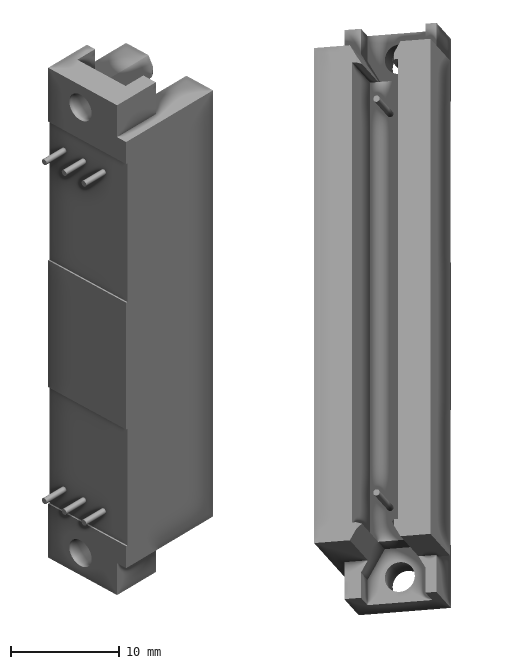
import cadquery as cq

length = 55.0
mid_z = length / 2
ear_length = 3.6
wall_end_z = length - ear_length

half_width = 5.55
base_half_width = 4.4
base_height = 5.15
wall_top = 11.6
left_wall_bottom = 4.6

slot_center_x = -0.3
slot_width = 2.85
slot_edge_chamfer_x = 0.4
slot_edge_chamfer_y = 0.6

cavity_width = 4.4

pocket_floor = 2.8
pocket_width = 6.15
funnel_width_at_wall_end = 4.85
funnel_depth = 1.7
funnel_start_z = wall_end_z - funnel_depth

hole_diameter = 2.85
hole_from_end = 2.5

relief_depth = 0.15
upper_relief = (33.4, 48.95)
lower_relief = (6.05, 19.15)

pin_diameter = 0.6
pin_pitch = 2.55
pin_tip = -2.5
contact_tip = 10.1
pin_rows_z = (8.45, 46.55)


def block(x0, x1, y0, y1, z0, z1):
    """Axis-aligned box between two opposite corners."""
    return cq.Workplane("XY").box(x1 - x0, y1 - y0, z1 - z0, centered=False).translate((x0, y0, z0))


def rod_along_y(x, z, diameter, y0, y1):
    """Cylinder parallel to Y."""
    return cq.Workplane("XZ", origin=(x, y0, z)).circle(diameter / 2).extrude(y0 - y1)


def make_housing():
    """Base with mounting ears, carrying the two card-guide walls."""
    base = block(-base_half_width, base_half_width, 0, base_height, 0, length)
    left_wall = block(-half_width, 0, left_wall_bottom, wall_top, ear_length, wall_end_z)
    right_wall = block(0, half_width, 0, wall_top, ear_length, wall_end_z)
    return base.union(left_wall).union(right_wall)


def make_slot():
    """Card slot with a bevelled mouth, open at both ends."""
    half_slot = slot_width / 2
    half_mouth = half_slot + slot_edge_chamfer_x
    bevel_y = wall_top - slot_edge_chamfer_y
    profile = [
        (-half_slot, base_height),
        (half_slot, base_height),
        (half_slot, bevel_y),
        (half_mouth, wall_top),
        (-half_mouth, wall_top),
        (-half_slot, bevel_y),
    ]
    return cq.Workplane("XY").polyline(profile).close().extrude(length).translate((slot_center_x, 0, 0))


def make_end_pocket():
    """Pocket at the +Z end: full width at the ear, tapering to the slot width."""
    half_slot = slot_width / 2
    half_pocket = pocket_width / 2
    slope = funnel_depth / ((funnel_width_at_wall_end - slot_width) / 2)
    funnel_end_z = funnel_start_z + slope * (half_pocket - half_slot)
    outline = [
        (-half_slot, funnel_start_z),
        (half_slot, funnel_start_z),
        (half_pocket, funnel_end_z),
        (half_pocket, length),
        (-half_pocket, length),
        (-half_pocket, funnel_end_z),
    ]
    pocket = cq.Workplane("XZ").polyline(outline).close().extrude(pocket_floor - wall_top)
    return pocket.translate((slot_center_x, pocket_floor, 0))


def make_cavity():
    """Widened middle stretch of the slot, between the end lips."""
    return block(
        slot_center_x - cavity_width / 2,
        slot_center_x + cavity_width / 2,
        base_height,
        wall_top,
        length - funnel_start_z,
        funnel_start_z,
    )


housing = make_housing().cut(make_slot()).cut(make_cavity())

end_pocket = make_end_pocket()
housing = housing.cut(end_pocket)
housing = housing.cut(end_pocket.mirror("XY", (0, 0, mid_z)))

for hole_z in (hole_from_end, length - hole_from_end):
    housing = housing.cut(rod_along_y(slot_center_x, hole_z, hole_diameter, 0, base_height))

for relief_start, relief_end in (lower_relief, upper_relief):
    housing = housing.cut(block(-half_width, half_width, 0, relief_depth, relief_start, relief_end))

result = housing
for row_z in pin_rows_z:
    for column in (-1, 0, 1):
        pin_end = contact_tip if column == 0 else pocket_floor
        result = result.union(rod_along_y(column * pin_pitch, row_z, pin_diameter, pin_tip, pin_end))